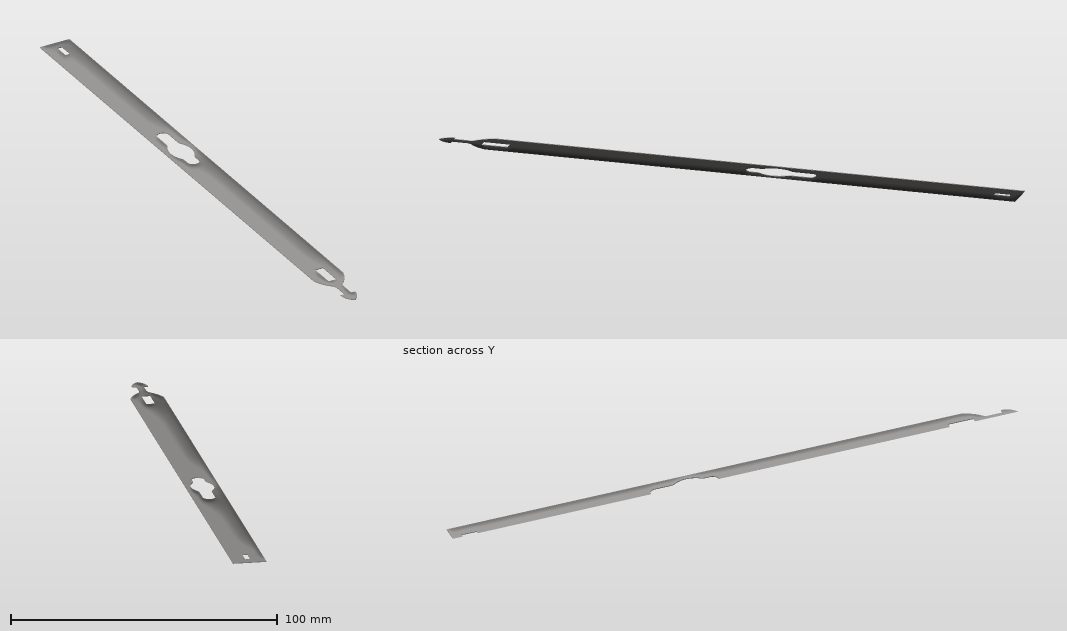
import cadquery as cq
import math

length = 228.0
width = 12.8
thickness = 0.27

shoulder_start_x = 208.0
shoulder_mid = (212.3, 4.3)
shoulder_end = (214.8, 2.17)
neck_blend_mid = (215.5, 1.7)
neck_start_x = 216.4
neck_width = 2.7

head_back_x = 222.5
head_width = 6.2

tail_slot_start_x = 3.9
tail_slot_length = 6.2
tail_slot_width = 2.0
tip_slot_start_x = 200.6
tip_slot_length = 10.3
tip_slot_width = 3.5

keyhole_start_x = 80.0
keyhole_end_x = 107.5
keyhole_slot_width = 4.8
bulge_center_x = 96.0
bulge_width = 9.0
bulge_length = 11.9
bulge_blend_radius = 2.3
corner_margin = 0.2


def ogive_midpoint():
    """Middle of the head's side arc, which leaves the back corner parallel to X."""
    head_length = length - head_back_x
    half_head = head_width / 2
    radius = (head_length**2 + half_head**2) / (2 * half_head)
    half_angle = math.asin(head_length / radius) / 2
    return (
        head_back_x + radius * math.sin(half_angle),
        half_head - radius * (1 - math.cos(half_angle)),
    )


def make_half_strap():
    """Upper half of the strap, from the centre line to the +Y edge."""
    half_width = width / 2
    half_neck = neck_width / 2
    half_head = head_width / 2
    return (
        cq.Workplane("XY")
        .moveTo(0, 0)
        .lineTo(0, half_width)
        .lineTo(shoulder_start_x, half_width)
        .threePointArc(shoulder_mid, shoulder_end)
        .threePointArc(neck_blend_mid, (neck_start_x, half_neck))
        .lineTo(head_back_x, half_neck)
        .lineTo(head_back_x, half_head)
        .threePointArc(ogive_midpoint(), (length, 0))
        .close()
        .extrude(thickness)
    )


def make_rectangular_slot(start_x, slot_length, slot_width):
    """Through slot centred on the X axis."""
    return (
        cq.Workplane("XY")
        .center(start_x + slot_length / 2, 0)
        .rect(slot_length, slot_width)
        .extrude(thickness)
    )


def make_keyhole():
    """Round-ended slot with a bulge, blended where the two meet."""
    slot_length = keyhole_end_x - keyhole_start_x
    slot = (
        cq.Workplane("XY")
        .center((keyhole_start_x + keyhole_end_x) / 2, 0)
        .slot2D(slot_length, keyhole_slot_width)
        .extrude(thickness)
    )
    half_length = bulge_length / 2
    half_width = bulge_width / 2
    half_slot = keyhole_slot_width / 2
    bulge = (
        cq.Workplane("XY")
        .center(bulge_center_x, 0)
        .moveTo(-half_length, -half_slot)
        .lineTo(-half_length, half_slot)
        .threePointArc((0, half_width), (half_length, half_slot))
        .lineTo(half_length, -half_slot)
        .threePointArc((0, -half_width), (-half_length, -half_slot))
        .close()
        .extrude(thickness)
    )
    keyhole = slot.union(bulge)
    bulge_corners = cq.selectors.BoxSelector(
        (bulge_center_x - half_length - corner_margin, -half_width, 0),
        (bulge_center_x + half_length + corner_margin, half_width, thickness),
    )
    return keyhole.edges("|Z").edges(bulge_corners).fillet(bulge_blend_radius)


half_strap = make_half_strap()
strap = half_strap.union(half_strap.mirror("XZ"))

result = (
    strap
    .cut(make_rectangular_slot(tail_slot_start_x, tail_slot_length, tail_slot_width))
    .cut(make_rectangular_slot(tip_slot_start_x, tip_slot_length, tip_slot_width))
    .cut(make_keyhole())
)